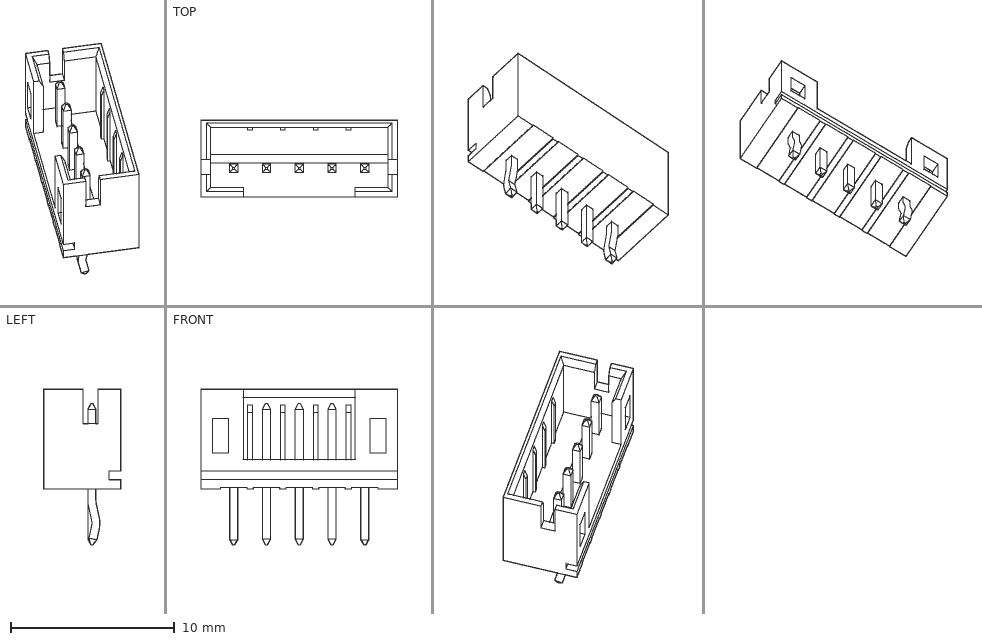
import cadquery as cq
import math


pin_count = 5
length = 12.0
pitch = length / (pin_count + 1)
pin_xs = [(i - (pin_count - 1) / 2) * pitch for i in range(pin_count)]
gap_xs = [(i - (pin_count - 2) / 2) * pitch for i in range(pin_count - 1)]

width = 4.7
height = 6.1
back_y = width / 2
front_y = -width / 2

side_wall = 0.6
front_wall = 0.6
back_wall = 0.45
cavity_length = length - 2 * side_wall
cavity_front_y = front_y + front_wall
cavity_back_y = back_y - back_wall
cavity_width = cavity_back_y - cavity_front_y
cavity_mid_y = (cavity_front_y + cavity_back_y) / 2
rim_bevel_width = 0.25
rim_bevel_height = 0.5
floor_z = height - 4.3
low_floor_z = height - 5.0
floor_step_y = back_y - 2.6
floor_slope_run = 0.5

front_opening_length = 6.8
side_notch_depth = 2.1
side_notch_width = 0.9
side_notch_y = back_y - 2.85
window_length = 1.0
window_height = 2.1
window_top_z = height - 1.8
window_inset = 0.7

groove_height = 0.52
groove_depth = 0.71
groove_bottom_z = 0.59

relief_depth = 0.1
foot_length = 0.4
relief_length = pitch - foot_length

rib_thickness = 0.29
rib_projection = 0.15
rib_top_z = height - 0.95
rib_slope_height = 0.47

pin_size = pitch / 4
pin_half = pin_size / 2
pin_y = back_y - 2.94
pin_top_z = height - 0.86
pin_bottom_z = height - 9.5
tip_length = 0.36
tip_flat = 0.12
tip_taper = math.degrees(math.atan((pin_size - tip_flat) / 2 / tip_length))

kink_angle = 12.0
kink_slope = math.tan(math.radians(kink_angle))
kink_start_z = height - 6.86
kink_peak_z = height - 8.17
kink_start_radius = 0.96
kink_peak_radius = 1.54


def block(x_size, y_range, z_range):
    """Box centred on X = 0 between the given Y and Z limits."""
    y_size = y_range[1] - y_range[0]
    z_size = z_range[1] - z_range[0]
    return (
        cq.Workplane("XY")
        .box(x_size, y_size, z_size, centered=(True, False, False))
        .translate((0, y_range[0], z_range[0]))
    )


def yz_prism(points, x_size):
    """Prism centred on X = 0 from an outline of (y, z) points."""
    return cq.Workplane("YZ").polyline(points).close().extrude(x_size / 2, both=True)


def cavity():
    """Open-topped cavity with a stepped floor and a bevelled rim."""
    slope_end_y = floor_step_y + floor_slope_run
    outline = [
        (cavity_front_y, height),
        (cavity_front_y, floor_z),
        (floor_step_y, floor_z),
        (slope_end_y, low_floor_z),
        (cavity_back_y, low_floor_z),
        (cavity_back_y, height),
    ]
    rim = (
        cq.Workplane("XY", origin=(0, cavity_mid_y, height - rim_bevel_height))
        .rect(cavity_length, cavity_width)
        .workplane(offset=rim_bevel_height)
        .rect(cavity_length + 2 * rim_bevel_width, cavity_width + 2 * rim_bevel_width)
        .loft(ruled=True)
    )
    return yz_prism(outline, cavity_length).union(rim)


def rib():
    """Back-wall rib with a sloped lead-in at its top."""
    rib_front_y = cavity_back_y - rib_projection
    outline = [
        (cavity_back_y, low_floor_z),
        (cavity_back_y, rib_top_z),
        (rib_front_y, rib_top_z - rib_slope_height),
        (rib_front_y, low_floor_z),
    ]
    return yz_prism(outline, rib_thickness)


def make_housing():
    body = block(length, (front_y, back_y), (0, height)).cut(cavity())

    body = body.cut(block(front_opening_length, (front_y, cavity_front_y), (floor_z, height)))

    notch_y = (side_notch_y - side_notch_width / 2, side_notch_y + side_notch_width / 2)
    body = body.cut(block(length, notch_y, (height - side_notch_depth, height)))

    window = block(window_length, (front_y, cavity_front_y), (window_top_z - window_height, window_top_z))
    window_x = length / 2 - window_inset - window_length / 2
    for x in (-window_x, window_x):
        body = body.cut(window.translate((x, 0, 0)))

    groove_z = (groove_bottom_z, groove_bottom_z + groove_height)
    body = body.cut(block(length, (front_y, front_y + groove_depth), groove_z))

    for x in gap_xs:
        body = body.union(rib().translate((x, 0, 0)))

    relief = block(relief_length, (front_y, back_y), (0, relief_depth))
    pin_hole = block(pin_size, (pin_y - pin_half, pin_y + pin_half), (0, floor_z))
    for x in pin_xs:
        body = body.cut(relief.translate((x, 0, 0)))
        body = body.cut(pin_hole.translate((x, 0, 0)))
    return body


def pin_tip():
    """Blunt pyramid that points up from Z = 0."""
    return cq.Workplane("XY").rect(pin_size, pin_size).extrude(tip_length, taper=tip_taper)


def make_straight_pin():
    shoulder_z = (pin_bottom_z + tip_length, pin_top_z - tip_length)
    top_tip = pin_tip().translate((0, 0, shoulder_z[1]))
    bottom_tip = pin_tip().rotate((0, 0, 0), (1, 0, 0), 180).translate((0, 0, shoulder_z[0]))
    pin = block(pin_size, (-pin_half, pin_half), shoulder_z).union(top_tip).union(bottom_tip)
    return pin.translate((0, pin_y, 0))


def make_kinked_pin():
    """Pin whose leg leans forward, then back, with its front bends rounded."""
    lean = math.radians(kink_angle)
    top_z = pin_top_z - tip_length
    peak_y = -pin_half - (kink_start_z - kink_peak_z) * kink_slope

    flat_rise = tip_flat / 2 * math.sin(lean)
    shoulder_mid_z = pin_bottom_z + flat_rise + tip_length * math.cos(lean)
    shoulder_front_z = shoulder_mid_z - pin_half * math.sin(lean)
    shoulder_front_y = peak_y + (kink_peak_z - shoulder_front_z) * kink_slope
    shoulder_mid_y = shoulder_front_y + pin_half * math.cos(lean)

    outline = [
        (-pin_half, top_z),
        (-pin_half, kink_start_z),
        (peak_y, kink_peak_z),
        (shoulder_front_y, shoulder_front_z),
        (shoulder_front_y + pin_size * math.cos(lean), shoulder_front_z + pin_size * math.sin(lean)),
        (peak_y + pin_size / math.cos(lean), kink_peak_z),
        (pin_half, kink_start_z - pin_size * math.tan(lean / 2)),
        (pin_half, top_z),
    ]
    front_start = cq.selectors.NearestToPointSelector((0, -pin_half, kink_start_z))
    front_peak = cq.selectors.NearestToPointSelector((0, peak_y, kink_peak_z))
    shaft = yz_prism(outline, pin_size)
    shaft = shaft.edges(front_start).fillet(kink_start_radius)
    shaft = shaft.edges(front_peak).fillet(kink_peak_radius)

    top_tip = pin_tip().translate((0, 0, top_z))
    bottom_tip = (
        pin_tip()
        .rotate((0, 0, 0), (1, 0, 0), 180 + kink_angle)
        .translate((0, shoulder_mid_y, shoulder_mid_z))
    )
    return shaft.union(top_tip).union(bottom_tip).translate((0, pin_y, 0))


housing = make_housing()

straight_pin = make_straight_pin()
straight_pins = [straight_pin.translate((x, 0, 0)).solids().val() for x in pin_xs[1:-1]]

kinked_pin = make_kinked_pin()
kinked_pins = [kinked_pin.translate((x, 0, 0)).solids().val() for x in (pin_xs[0], pin_xs[-1])]

result = cq.Compound.makeCompound([housing.solids().val(), *straight_pins, *kinked_pins])